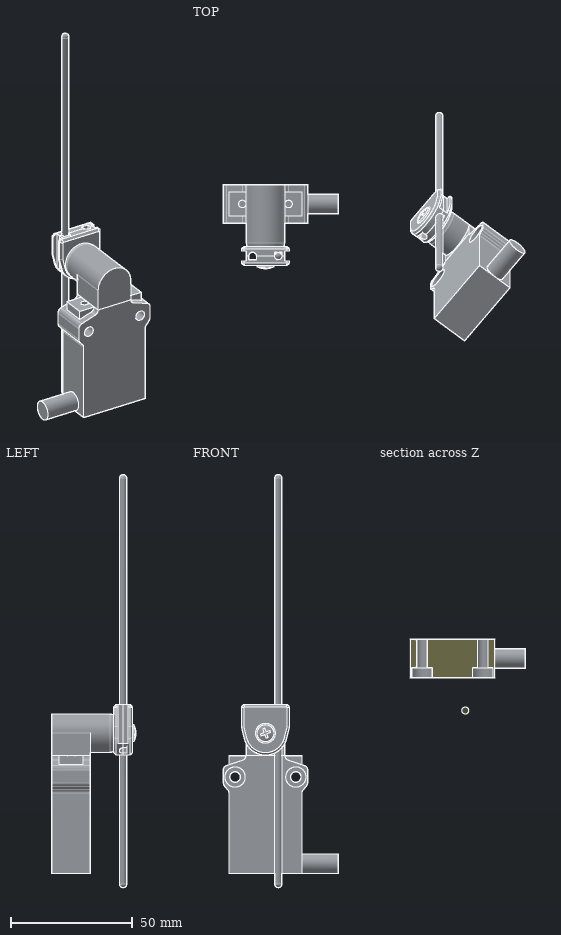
import cadquery as cq
import math


body_width = 30.1
body_depth = 16.0
body_height = 48.6
ear_width = 34.8
neck_width = body_depth
corner_radius = 2.0
shoulder_slope = math.radians(18)
ear_under_slope = math.radians(50)
ear_side_bottom = 37.4
mount_spacing = 25.0
mount_height = 39.8
mount_diameter = 4.2
mount_bore_diameter = 8.3
mount_bore_depth = 4.0
block_depth = 9.9
block_hole_spacing = 19.0
block_hole_diameter = 3.0
block_hole_depth = 2.0

axis_height = 57.8
head_radius = neck_width / 2
head_taper_length = 1.5
head_taper_drop = 0.3

clamp_back = 25.5
clamp_front = 33.3
clamp_middle = (clamp_back + clamp_front) / 2
plate_thickness = clamp_front - clamp_middle
plate_width = 19.9
plate_top = 69.7
plate_taper_start = 60.5
plate_end_radius = 9.0
plate_chamfer = 1.0
groove_wall = 2.0
waist_width = 16.0
rod_offset = 5.3

screw_front = 34.7
screw_head_diameter = 7.0
screw_recess_diameter = 8.2
screw_recess_depth = 1.4
screw_rim = 0.5
shank_diameter = 3.5
drive_length = 4.0
drive_width = 0.8
drive_depth = 1.4
drive_turn = -20.0

rod_diameter = 3.0
rod_length = 170.0
rod_bottom = -5.8

cable_diameter = 8.2
overall_width = 47.5
cable_length = overall_width - (ear_width + body_width) / 2


def y_cylinder(diameter, y_back, y_front, x=0.0, z=axis_height):
    """Cylinder along -Y between two distances in front of y = 0."""
    return (
        cq.Workplane("XZ", origin=(x, -y_back, z))
        .circle(diameter / 2)
        .extrude(y_front - y_back)
    )


def housing_half():
    """Right half of the housing, with the sloping shoulder and the rounded ear."""
    r = corner_radius
    body_x = body_width / 2
    ear_x = ear_width / 2
    neck_x = neck_width / 2
    run = r * (1 - math.sin(shoulder_slope))
    drop = r * math.cos(shoulder_slope)
    shoulder_x = neck_x + run
    shoulder_z = body_height - drop
    ear_top_x = ear_x - run
    ear_top_z = shoulder_z - (ear_top_x - shoulder_x) * math.tan(shoulder_slope)
    under_run = r * (1 - math.cos(ear_under_slope))
    under_drop = r * math.sin(ear_under_slope)
    under_z = ear_side_bottom - under_drop
    flat_run = ear_x - body_x - 2 * under_run
    flat_bottom_z = under_z - flat_run * math.tan(ear_under_slope)
    return (
        cq.Workplane("XZ")
        .lineTo(body_x, 0)
        .lineTo(body_x, flat_bottom_z - under_drop)
        .tangentArcPoint((body_x + under_run, flat_bottom_z), relative=False)
        .lineTo(ear_x - under_run, under_z)
        .tangentArcPoint((ear_x, ear_side_bottom), relative=False)
        .lineTo(ear_x, ear_top_z - drop)
        .tangentArcPoint((ear_top_x, ear_top_z), relative=False)
        .lineTo(shoulder_x, shoulder_z)
        .tangentArcPoint((neck_x, body_height), relative=False)
        .lineTo(0, body_height)
        .close()
        .extrude(body_depth)
    )


def make_housing():
    right_half = housing_half()
    housing = right_half.union(right_half.mirror("YZ"))

    block_height = body_height - ear_side_bottom
    blocks = cq.Workplane("XY").box(body_width, block_depth, block_height)
    housing = housing.union(
        blocks.translate((0, -body_depth / 2, body_height - block_height / 2))
    )
    for side in (-1, 1):
        block_hole = (
            cq.Workplane("XY", origin=(side * block_hole_spacing / 2, -body_depth / 2, body_height))
            .circle(block_hole_diameter / 2)
            .extrude(-block_hole_depth)
        )
        mount_x = side * mount_spacing / 2
        mount_hole = y_cylinder(mount_diameter, 0, body_depth, mount_x, mount_height)
        mount_bore = y_cylinder(
            mount_bore_diameter, body_depth - mount_bore_depth, body_depth, mount_x, mount_height
        )
        housing = housing.cut(block_hole).cut(mount_hole).cut(mount_bore)
    return housing


def make_head():
    """Round-topped block on the neck, with a barrel that reaches the clamp."""
    barrel = y_cylinder(2 * head_radius, 0, clamp_back)
    barrel = barrel.faces("<Y").chamfer(head_taper_length, head_taper_drop)
    pedestal_height = axis_height - body_height
    pedestal = cq.Workplane("XY").box(neck_width, body_depth, pedestal_height)
    pedestal = pedestal.translate((0, -body_depth / 2, body_height + pedestal_height / 2))
    return barrel.union(pedestal)


def plate_blank():
    """Plate with a round lower end, outer face on y = 0 and inner face towards +Y."""
    half_width = plate_width / 2
    taper_rise = plate_taper_start - axis_height
    corner_distance = math.hypot(half_width, taper_rise)
    tangent_angle = math.atan2(taper_rise, half_width) - math.acos(plate_end_radius / corner_distance)
    tangent_x = plate_end_radius * math.cos(tangent_angle)
    tangent_z = axis_height + plate_end_radius * math.sin(tangent_angle)
    return (
        cq.Workplane("XZ")
        .moveTo(plate_chamfer - half_width, plate_top)
        .lineTo(-half_width, plate_top - plate_chamfer)
        .lineTo(-half_width, plate_taper_start)
        .lineTo(-tangent_x, tangent_z)
        .threePointArc((0, axis_height - plate_end_radius), (tangent_x, tangent_z))
        .lineTo(half_width, plate_taper_start)
        .lineTo(half_width, plate_top - plate_chamfer)
        .lineTo(half_width - plate_chamfer, plate_top)
        .close()
        .extrude(-plate_thickness)
        .faces("<Y")
        .chamfer(plate_chamfer)
    )


def make_plate():
    """Front clamp plate, with its outer face at the front of the clamp."""
    plate = plate_blank().translate((0, -clamp_front, 0))
    inner_face = -clamp_middle

    side_cut = (plate_width - waist_width) / 2
    for side in (-1, 1):
        waist = cq.Workplane("XY").box(side_cut, 2 * groove_wall, plate_top)
        waist = waist.translate((side * (waist_width + side_cut) / 2, inner_face, plate_top / 2))
        plate = plate.cut(waist)

    round_groove = (
        cq.Workplane("XY", origin=(rod_offset, inner_face, 0))
        .circle(rod_diameter / 2)
        .extrude(plate_top)
    )
    square_groove = (
        cq.Workplane("XY", origin=(-rod_offset, inner_face, 0))
        .rect(rod_diameter, rod_diameter)
        .extrude(plate_top)
    )
    shank_hole = y_cylinder(shank_diameter, clamp_middle, clamp_front)
    return plate.cut(round_groove).cut(square_groove).cut(shank_hole)


def make_front_plate():
    recess = y_cylinder(screw_recess_diameter, clamp_front - screw_recess_depth, clamp_front)
    return make_plate().cut(recess)


def make_back_plate():
    """Same plate turned half a turn about the upright line through the joint."""
    return make_plate().rotate((0, -clamp_middle, 0), (0, -clamp_middle, 1), 180)


def make_screw():
    head_seat = clamp_front - screw_recess_depth
    rim_front = clamp_front + screw_rim
    rim_radius = screw_head_diameter / 2
    dome_height = screw_front - rim_front
    dome_radius = (rim_radius**2 + dome_height**2) / (2 * dome_height)
    dome_center = cq.Vector(0, -(screw_front - dome_radius), axis_height)
    head = y_cylinder(screw_head_diameter, head_seat, screw_front)
    head = head.intersect(cq.Workplane("XY").sphere(dome_radius).translate(dome_center))
    shank = y_cylinder(shank_diameter, clamp_back, head_seat)
    screw = head.union(shank)

    for length, height in ((drive_length, drive_width), (drive_width, drive_length)):
        slot = cq.Workplane("XY").box(length, 2 * drive_depth, height)
        slot = slot.rotate((0, 0, 0), (0, 1, 0), drive_turn)
        screw = screw.cut(slot.translate((0, -screw_front, axis_height)))
    return screw


def make_rod():
    """Straight rod with hemispherical ends."""
    radius = rod_diameter / 2
    straight_length = rod_length - rod_diameter
    shaft = cq.Workplane("XY").circle(radius).extrude(straight_length)
    tip = cq.Workplane("XY").sphere(radius)
    rod = shaft.union(tip).union(tip.translate((0, 0, straight_length)))
    return rod.translate((rod_offset, -clamp_middle, rod_bottom + radius))


def make_cable():
    return (
        cq.Workplane("YZ", origin=(body_width / 2, -body_depth / 2, cable_diameter / 2))
        .circle(cable_diameter / 2)
        .extrude(cable_length)
    )


housing = make_housing()
head = make_head()
back_plate = make_back_plate()
front_plate = make_front_plate()
screw = make_screw()
rod = make_rod()
cable = make_cable()

result = cq.Compound.makeCompound(
    [
        housing.val(),
        head.val(),
        back_plate.val(),
        front_plate.val(),
        screw.val(),
        rod.val(),
        cable.val(),
    ]
)